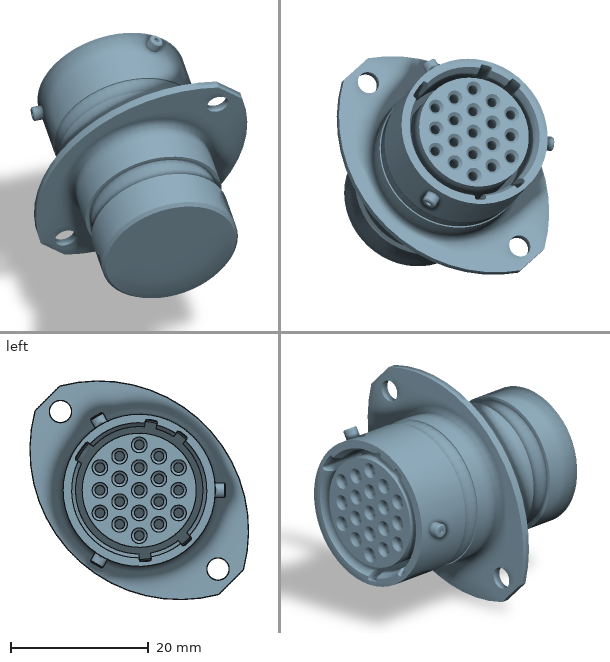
import cadquery as cq
import math

length = 33.3
front_radius = 11.05
band_radius = 10.85
band_start = 8.95
band_end = 11.5
rear_radius = 10.25
rear_groove_radius = 9.55
rear_groove_start = 23.85
rear_groove_end = 27.25
rear_chamfer = 0.45
fillet_radius = 0.85

flange_start = 16.0
flange_thickness = 1.2
flange_span = 31.8
flange_arc_offset = 5.9
flange_arc_radius = flange_span / 2 + flange_arc_offset
flange_tip_distance = 18.9
flange_hole_distance = 16.2
flange_hole_radius = 1.6
flange_tip_angle = 45.0

mouth_radius = 9.83
mouth_taper_end_radius = 9.4
mouth_taper_depth = 1.0
mouth_step_depth = 0.3
socket_radius = 9.25
keyway_radius = 10.4
keyway_fillet = 0.3
key_width = 1.7
main_key_width = 3.03
small_key_angles = (10.0, 38.0, 137.0, 175.0)
main_key_angle = -55.7

insert_radius = 8.3
insert_recess = 0.35
collar_start = 8.0
collar_thickness = 2.0
collar_radius = 10.3
collar_chamfer = 0.23
contact_pitch = 3.3
contact_hole_radius = 0.7
contact_mouth_radius = 1.13
contact_taper_depth = 0.5
contact_hole_depth = 4.0
rings_of_contacts = 2

pin_count = 3
pin_position = 2.53
pin_radius = 1.03
pin_top = 12.52
pin_seat = 10.23
pin_chamfer = 0.15
pin_hole_radius = 0.4
pin_hole_depth = 0.25
first_pin_angle = 90.0


def revolve_about_x(points):
    """Turn a closed (X, radius) outline into a solid of revolution about the X axis."""
    return cq.Workplane("XY").polyline(points).close().revolve(360, (0, 0, 0), (1, 0, 0))


def cylinder_on_x(start, end, radius):
    return cq.Workplane("YZ").workplane(offset=start).circle(radius).extrude(end - start)


def around_axis(body, angle):
    """Turn a body from +Z towards -Y around the X axis."""
    return body.rotate((0, 0, 0), (1, 0, 0), angle)


def make_flange_plate():
    plate = None
    for side in (1, -1):
        disc = (
            cq.Workplane("YZ", origin=(flange_start, 0, 0))
            .center(side * flange_arc_offset, -side * flange_arc_offset)
            .circle(flange_arc_radius)
            .extrude(flange_thickness)
        )
        plate = disc if plate is None else plate.intersect(disc)
    tip_trim = cq.Workplane("XY").box(length, 2 * flange_arc_radius, 2 * flange_tip_distance)
    tip_trim = tip_trim.translate((flange_start, 0, 0))
    holes = (
        cq.Workplane("YZ", origin=(flange_start, 0, 0))
        .pushPoints([(0, flange_hole_distance), (0, -flange_hole_distance)])
        .circle(flange_hole_radius)
        .extrude(flange_thickness)
    )
    plate = plate.intersect(around_axis(tip_trim, -flange_tip_angle))
    return plate.cut(around_axis(holes, -flange_tip_angle))


def make_barrel():
    """Outer barrels on both sides of the flange, with fillets running up to its faces."""
    flange_end = flange_start + flange_thickness
    fillet_bulge = fillet_radius * (1 - math.sqrt(0.5))
    front_fillet_middle = (flange_start - fillet_bulge, front_radius + fillet_bulge)
    rear_fillet_middle = (flange_end + fillet_bulge, rear_radius + fillet_bulge)
    return (
        cq.Workplane("XY")
        .lineTo(0, front_radius)
        .lineTo(band_start, front_radius)
        .lineTo(band_start, band_radius)
        .lineTo(band_end, band_radius)
        .lineTo(band_end, front_radius)
        .lineTo(flange_start - fillet_radius, front_radius)
        .threePointArc(front_fillet_middle, (flange_start, front_radius + fillet_radius))
        .lineTo(flange_end, front_radius + fillet_radius)
        .lineTo(flange_end, rear_radius + fillet_radius)
        .threePointArc(rear_fillet_middle, (flange_end + fillet_radius, rear_radius))
        .lineTo(rear_groove_start, rear_radius)
        .lineTo(rear_groove_start, rear_groove_radius)
        .lineTo(rear_groove_end, rear_groove_radius)
        .lineTo(rear_groove_end, rear_radius)
        .lineTo(length - rear_chamfer, rear_radius)
        .lineTo(length, rear_radius - rear_chamfer)
        .lineTo(length, 0)
        .close()
        .revolve(360, (0, 0, 0), (1, 0, 0))
    )


def make_cavity():
    """Mouth, socket, collar recess and insert bore of the shell, as one turned solid."""
    collar_end = collar_start + collar_thickness
    return revolve_about_x([
        (0, 0),
        (0, mouth_radius),
        (mouth_taper_depth, mouth_taper_end_radius),
        (mouth_taper_depth + mouth_step_depth, socket_radius),
        (collar_start, socket_radius),
        (collar_start, collar_radius),
        (collar_end, collar_radius),
        (collar_end, insert_radius),
        (length, insert_radius),
        (length, 0),
    ])


def make_keyway(width, angle):
    """Straight-sided slot from the mouth to the collar, with a round bottom."""
    slot = (
        cq.Workplane("XY")
        .rect(2 * collar_start, width)
        .extrude(front_radius)
        .intersect(cylinder_on_x(0, collar_start, keyway_radius))
        .edges("|X")
        .edges(">Y or <Y")
        .edges(">Z")
        .fillet(keyway_fillet)
    )
    return around_axis(slot, angle)


def make_pin_blank(angle):
    blank = (
        cq.Workplane("XY", origin=(pin_position, 0, pin_seat))
        .circle(pin_radius)
        .extrude(pin_top - pin_seat)
    )
    return around_axis(blank, angle)


def make_shell(pin_angles):
    shell = make_barrel().union(make_flange_plate()).cut(make_cavity())
    for angle in small_key_angles:
        shell = shell.cut(make_keyway(key_width, angle))
    shell = shell.cut(make_keyway(main_key_width, main_key_angle))
    for angle in pin_angles:
        shell = shell.cut(make_pin_blank(angle))
    return shell


def contact_positions():
    """Hexagonal grid in (Y, Z) whose columns run along Z."""
    column_step = contact_pitch * math.sqrt(3) / 2
    positions = []
    for column in range(-rings_of_contacts, rings_of_contacts + 1):
        holes_in_column = 2 * rings_of_contacts + 1 - abs(column)
        for row in range(holes_in_column):
            height = (row - (holes_in_column - 1) / 2) * contact_pitch
            positions.append((column * column_step, height))
    return positions


def make_insert():
    collar_end = collar_start + collar_thickness
    insert = revolve_about_x([
        (insert_recess, 0),
        (insert_recess, insert_radius),
        (collar_start, insert_radius),
        (collar_start, collar_radius - collar_chamfer),
        (collar_start + collar_chamfer, collar_radius),
        (collar_end, collar_radius),
        (collar_end, insert_radius),
        (length, insert_radius),
        (length, 0),
    ])
    contact_hole = revolve_about_x([
        (insert_recess, 0),
        (insert_recess, contact_mouth_radius),
        (insert_recess + contact_taper_depth, contact_hole_radius),
        (insert_recess + contact_hole_depth, contact_hole_radius),
        (insert_recess + contact_hole_depth, 0),
    ])
    for y, z in contact_positions():
        insert = insert.cut(contact_hole.translate((0, y, z)))
    return insert


def make_bayonet_pin(angle):
    pin = make_pin_blank(0).faces(">Z").chamfer(pin_chamfer)
    end_hole = (
        cq.Workplane("XY", origin=(pin_position, 0, pin_top - pin_hole_depth))
        .circle(pin_hole_radius)
        .extrude(pin_hole_depth)
    )
    return around_axis(pin.cut(end_hole), angle)


bayonet_angles = [first_pin_angle + 360 / pin_count * index for index in range(pin_count)]

shell = make_shell(bayonet_angles)
insert = make_insert()
bayonet_pins = [make_bayonet_pin(angle) for angle in bayonet_angles]

result = cq.Compound.makeCompound([
    shell.val(),
    insert.val(),
    *[pin.val() for pin in bayonet_pins],
])